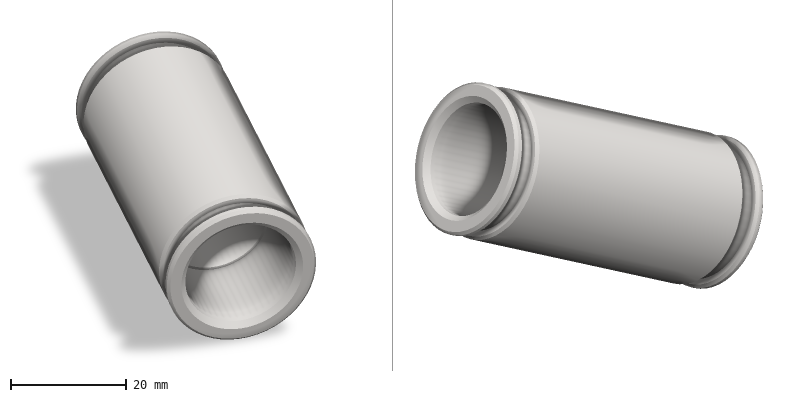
import cadquery as cq

length = 58.0
outer_diameter = 27.0
edge_chamfer = 0.5

groove_diameter = 24.0
end_collar_width = 1.8
groove_width = 3.0

land_diameter = 19.0
end_bore_diameter = 20.0
end_bore_depth = 17.4
mouth_diameter = 22.05
mouth_depth = 1.0


def cylinder(diameter, start, width):
    """Cylinder along X, beginning at x = start."""
    return cq.Workplane("YZ").workplane(offset=start).circle(diameter / 2).extrude(width)


def chamfered_cylinder(start, width):
    """Full-diameter section with both rims chamfered."""
    return cylinder(outer_diameter, start, width).edges().chamfer(edge_chamfer)


def bore_mouth():
    """Conical lead-in at the -X end."""
    return (
        cq.Workplane("YZ")
        .workplane(offset=-length / 2)
        .circle(mouth_diameter / 2)
        .workplane(offset=mouth_depth)
        .circle(end_bore_diameter / 2)
        .loft()
    )


left_end = -length / 2
sleeve_start = left_end + end_collar_width + groove_width
end_collar = chamfered_cylinder(left_end, end_collar_width)
result = (
    cylinder(groove_diameter, left_end, length)
    .union(chamfered_cylinder(sleeve_start, -2 * sleeve_start))
    .union(end_collar)
    .union(end_collar.mirror("YZ"))
)

result = result.cut(cylinder(land_diameter, left_end, length))
end_bore = cylinder(end_bore_diameter, left_end, end_bore_depth).union(bore_mouth())
result = result.cut(end_bore).cut(end_bore.mirror("YZ"))